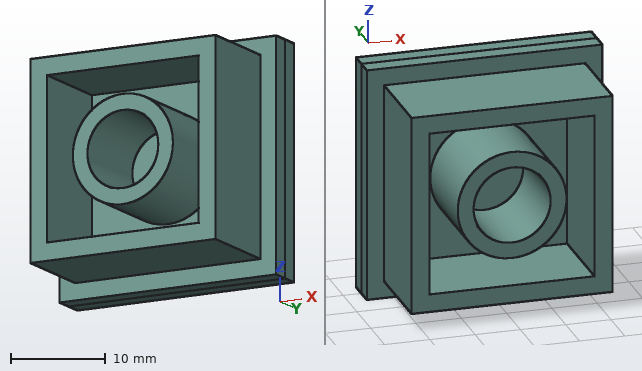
import cadquery as cq

plate_side = 26.0
plate_thickness = 2.0
sleeve_side = 22.2
sleeve_wall = 2.0
sleeve_length = 9.98
ring_diameter = 12.0
bore_diameter = 8.5

sleeve_back = -plate_thickness


def square_block(side, length, back):
    """Square block centred on the Y axis, running from `back` toward -Y."""
    return cq.Workplane("XZ", origin=(0, back, 0)).rect(side, side).extrude(length)


def cylinder(diameter, length, back):
    """Cylinder on the Y axis, running from `back` toward -Y."""
    return cq.Workplane("XZ", origin=(0, back, 0)).circle(diameter / 2).extrude(length)


def make_sleeve():
    """Square tube standing on the flange plate."""
    opening = square_block(sleeve_side - 2 * sleeve_wall, sleeve_length, sleeve_back)
    return square_block(sleeve_side, sleeve_length, sleeve_back).cut(opening)


def make_ring():
    """Round tube inside the sleeve, flush with its open end."""
    bore = cylinder(bore_diameter, sleeve_length, sleeve_back)
    return cylinder(ring_diameter, sleeve_length, sleeve_back).cut(bore)


back_plate = square_block(plate_side, plate_thickness, plate_thickness)
flange_plate = square_block(plate_side, plate_thickness, 0)
sleeve = make_sleeve()
ring = make_ring()

result = cq.Compound.makeCompound([back_plate.val(), flange_plate.val(), sleeve.val(), ring.val()])